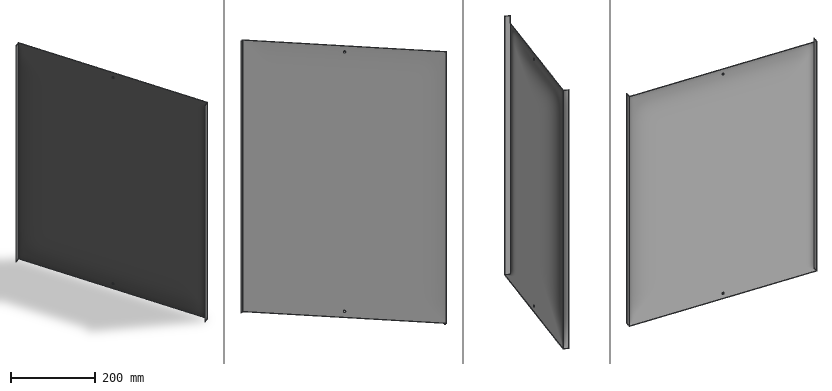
import cadquery as cq

width = 503.2
depth = 14.6
height = 660.0
thickness = 0.6

hole_diameter = 5.0
hole_edge_distance = 15.0

back_y = depth / 2
web_front_y = back_y - thickness
flange_tip_y = -depth / 2


def folded_sheet():
    """Flat web at the back with a flange folded square to the front along each side."""
    blank = cq.Workplane("XY").box(width, depth, height)
    hollow_depth = depth - thickness
    hollow = (
        cq.Workplane("XY")
        .box(width - 2 * thickness, hollow_depth, height)
        .translate((0, (web_front_y + flange_tip_y) / 2, 0))
    )
    return blank.cut(hollow)


def mounting_holes():
    """Cylinders through the web near its top and bottom edges."""
    hole_z = height / 2 - hole_edge_distance
    return (
        cq.Workplane("XZ")
        .pushPoints([(0, hole_z), (0, -hole_z)])
        .circle(hole_diameter / 2)
        .extrude(depth, both=True)
    )


result = folded_sheet().cut(mounting_holes())